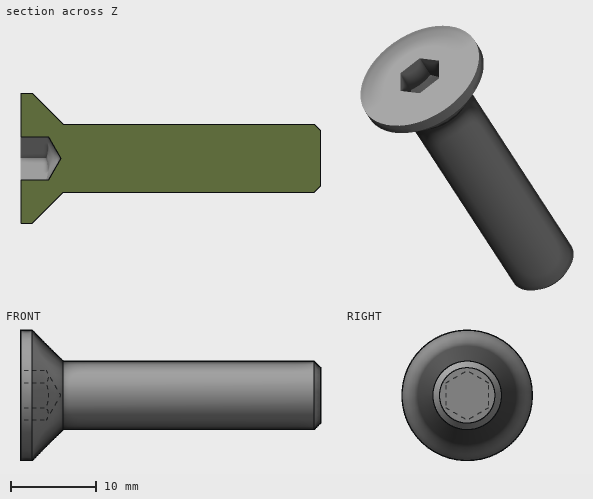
import cadquery as cq
import math

overall_length = 35.0
head_diameter = 15.24
shank_diameter = 8.0
head_height = 4.96
tip_chamfer = 0.767

socket_across_flats = 5.0
socket_depth = 3.0
socket_floor_angle = 120.0

head_radius = head_diameter / 2
shank_radius = shank_diameter / 2
rim_width = head_height - (head_radius - shank_radius)
socket_corner_radius = socket_across_flats / math.sqrt(3)
socket_cone_depth = socket_corner_radius / math.tan(math.radians(socket_floor_angle / 2))


def make_body():
    """Head, shank and chamfered tip, revolved about the X axis."""
    profile = (
        cq.Workplane("XY")
        .moveTo(0, 0)
        .lineTo(0, head_radius)
        .lineTo(rim_width, head_radius)
        .lineTo(head_height, shank_radius)
        .lineTo(overall_length - tip_chamfer, shank_radius)
        .lineTo(overall_length, shank_radius - tip_chamfer)
        .lineTo(overall_length, 0)
        .close()
    )
    return profile.revolve(360, (0, 0, 0), (1, 0, 0))


def make_socket():
    """Hexagonal prism whose far end is trimmed to a cone by a pointed round envelope."""
    cone_tip = socket_depth + socket_cone_depth
    prism = (
        cq.Workplane("YZ")
        .polygon(6, 2 * socket_corner_radius)
        .extrude(cone_tip)
        .rotate((0, 0, 0), (1, 0, 0), 90)
    )
    envelope = (
        cq.Workplane("XY")
        .moveTo(0, 0)
        .lineTo(0, socket_corner_radius)
        .lineTo(socket_depth, socket_corner_radius)
        .lineTo(cone_tip, 0)
        .close()
        .revolve(360, (0, 0, 0), (1, 0, 0))
    )
    return prism.intersect(envelope)


result = make_body().cut(make_socket())